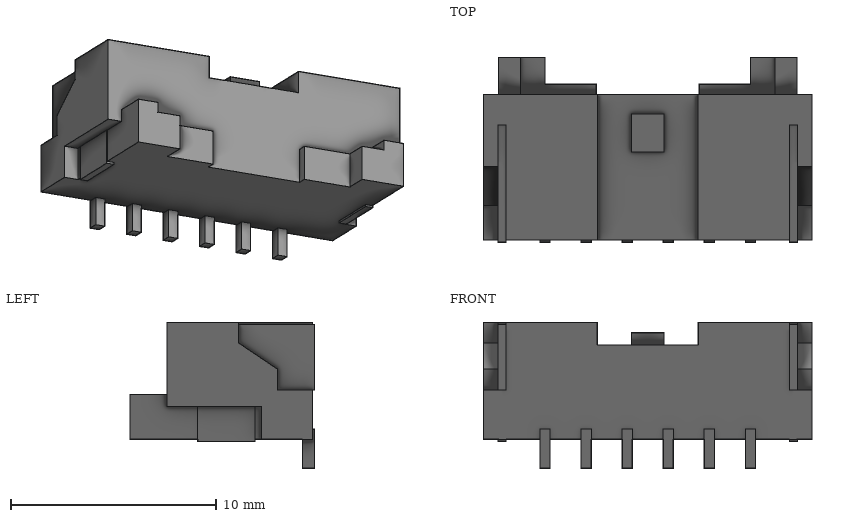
import cadquery as cq

body_width = 16.0
body_depth = 7.1
body_height = 5.7

channel_width = 4.9
channel_floor_z = 4.6
key_width = 1.6
key_length = 1.85
key_rear_gap = 0.95
key_top_z = 5.2

clip_inset = 0.7
clip_thickness = 0.4
clip_depth = 5.6
clip_clearance = 0.1
clip_bottom_z = 2.4
clip_tab_front_y = 2.8
clip_tab_drop = 0.1

notch_top_depth = 3.6
notch_bottom_depth = 1.7
slope_top_z = 4.7
slope_bottom_z = 3.42

undercut_depth = 0.73
undercut_front_y = 2.5
undercut_height = 1.6

foot_length = 1.8
foot_height = 2.2
foot_low_height = 1.7
foot_step_x = 6.2
foot_inner_x = 5.0
ledge_length = 0.5
ledge_inner_x = 2.5

pin_count = 6
pin_pitch = 2.0
pin_width = 0.5
pin_depth = 0.6
pin_top_z = 0.5
pin_drop = 1.4
front_overhang = 0.1

half_width = body_width / 2
clip_outer_x = half_width - clip_inset
clip_inner_x = clip_outer_x - clip_thickness
foot_outer_x = half_width - undercut_depth
clip_top_z = body_height - clip_clearance


def block(x_range, y_range, z_range):
    """Axis-aligned box between the given limits."""
    size = [high - low for low, high in (x_range, y_range, z_range)]
    corner = (x_range[0], y_range[0], z_range[0])
    return cq.Workplane("XY").box(*size, centered=False).translate(corner)


def both_ends(shape):
    """The shape at the +X end together with its mirror image at the -X end."""
    return shape.union(shape.mirror("YZ"))


def make_housing():
    housing = block((-half_width, half_width), (0, body_depth), (0, body_height))
    channel_half = channel_width / 2
    channel = block((-channel_half, channel_half), (0, body_depth), (channel_floor_z, body_height))
    return housing.cut(channel)


def make_key():
    rear_y = body_depth - key_rear_gap
    return block(
        (-key_width / 2, key_width / 2),
        (rear_y - key_length, rear_y),
        (channel_floor_z, key_top_z),
    )


def make_end_notch():
    """Side pocket, deep at the top and narrowing down a slope to its floor."""
    profile = [
        (0, clip_bottom_z),
        (notch_bottom_depth, clip_bottom_z),
        (notch_bottom_depth, slope_bottom_z),
        (notch_top_depth, slope_top_z),
        (notch_top_depth, body_height),
        (0, body_height),
    ]
    pocket = cq.Workplane("YZ", origin=(clip_outer_x, 0, 0)).polyline(profile).close()
    return pocket.extrude(clip_inset)


def make_undercut():
    return block((foot_outer_x, half_width), (undercut_front_y, body_depth), (0, undercut_height))


def make_clip_slot():
    """Shallow opening left above the clip's top edge."""
    return block((clip_inner_x, clip_outer_x), (0, clip_depth), (clip_top_z, body_height))


def make_clip():
    """Upper plate reaching past the front face, and the tab below the seating face."""
    x_range = (clip_inner_x, clip_outer_x)
    plate = block(x_range, (-front_overhang, clip_depth), (clip_bottom_z, clip_top_z))
    tab = block(x_range, (clip_tab_front_y, clip_depth), (-clip_tab_drop, clip_bottom_z))
    return plate.union(tab)


def make_rear_foot():
    foot_y = (body_depth, body_depth + foot_length)
    ledge_y = (body_depth, body_depth + ledge_length)
    tall_part = block((foot_step_x, foot_outer_x), foot_y, (0, foot_height))
    low_part = block((foot_inner_x, foot_step_x), foot_y, (0, foot_low_height))
    ledge = block((ledge_inner_x, foot_inner_x), ledge_y, (0, foot_low_height))
    return tall_part.union(low_part).union(ledge)


def make_pin(center_x):
    return block(
        (center_x - pin_width / 2, center_x + pin_width / 2),
        (-front_overhang, pin_depth - front_overhang),
        (-pin_drop, pin_top_z),
    )


result = make_housing().union(make_key())

for end_cut in (make_end_notch(), make_undercut(), make_clip_slot()):
    result = result.cut(both_ends(end_cut))

for end_part in (make_clip(), make_rear_foot()):
    result = result.union(both_ends(end_part))

first_pin_x = -(pin_count - 1) * pin_pitch / 2
for index in range(pin_count):
    result = result.union(make_pin(first_pin_x + index * pin_pitch))